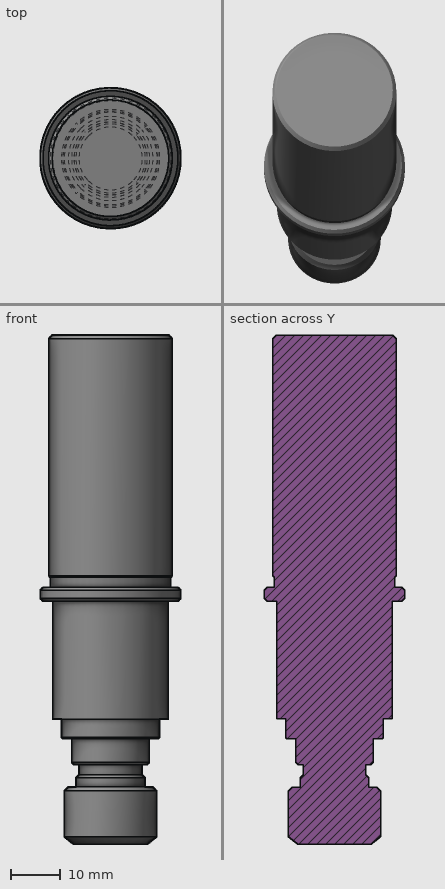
import cadquery as cq

HEAD_TOP = 11.6
COLLAR_TOP = 14.1
NECK_TOP = 16.0
STEP_TOP = 21.3
SPIGOT_TOP = 25.3
BODY_TOP = 49.0
FLANGE_TOP = 51.9
RELIEF_TOP = 53.8
TOTAL_HEIGHT = 102.7

HEAD_DIAMETER = 18.7
COLLAR_DIAMETER = 14.0
NECK_DIAMETER = 12.7
STEP_DIAMETER = 15.7
SPIGOT_DIAMETER = 19.8
BODY_DIAMETER = 23.3
FLANGE_DIAMETER = 28.5
RELIEF_DIAMETER = 24.3
SHANK_DIAMETER = 25.0

HEAD_LEAD_HEIGHT = 1.5
HEAD_LEAD_WIDTH = 2.0
HEAD_TOP_CHAMFER = 0.8
COLLAR_CHAMFER = (COLLAR_DIAMETER - NECK_DIAMETER) / 2
STEP_CHAMFER = 0.5
SPIGOT_CHAMFER = 0.3
FLANGE_CHAMFER = 0.6
SHANK_CHAMFER = 0.7
SHANK_LOWER_CHAMFER = (SHANK_DIAMETER - RELIEF_DIAMETER) / 2


def cylinder(diameter, bottom, top):
    """Cylinder on the Z axis between two heights."""
    return cq.Workplane("XY").workplane(offset=bottom).circle(diameter / 2).extrude(top - bottom)


def make_head():
    """Coupling head with a shallow lead-in cone underneath."""
    radius = HEAD_DIAMETER / 2
    return (
        cq.Workplane("XZ")
        .lineTo(radius - HEAD_LEAD_WIDTH, 0)
        .lineTo(radius, HEAD_LEAD_HEIGHT)
        .lineTo(radius, HEAD_TOP - HEAD_TOP_CHAMFER)
        .lineTo(radius - HEAD_TOP_CHAMFER, HEAD_TOP)
        .lineTo(0, HEAD_TOP)
        .close()
        .revolve(360, (0, 0, 0), (0, 1, 0))
    )


collar = cylinder(COLLAR_DIAMETER, HEAD_TOP, COLLAR_TOP).faces(">Z").edges().chamfer(COLLAR_CHAMFER)
neck = cylinder(NECK_DIAMETER, COLLAR_TOP, NECK_TOP)
step = cylinder(STEP_DIAMETER, NECK_TOP, STEP_TOP).faces("<Z").edges().chamfer(STEP_CHAMFER)
spigot = cylinder(SPIGOT_DIAMETER, STEP_TOP, SPIGOT_TOP).faces("<Z").edges().chamfer(SPIGOT_CHAMFER)
body = cylinder(BODY_DIAMETER, SPIGOT_TOP, BODY_TOP)
flange = cylinder(FLANGE_DIAMETER, BODY_TOP, FLANGE_TOP).edges().chamfer(FLANGE_CHAMFER)
relief = cylinder(RELIEF_DIAMETER, FLANGE_TOP, RELIEF_TOP)
shank = cylinder(SHANK_DIAMETER, RELIEF_TOP, TOTAL_HEIGHT).faces(">Z").edges().chamfer(SHANK_CHAMFER)
shank = shank.faces("<Z").edges().chamfer(SHANK_LOWER_CHAMFER)

result = make_head()
for section in (collar, neck, step, spigot, body, flange, relief, shank):
    result = result.union(section)